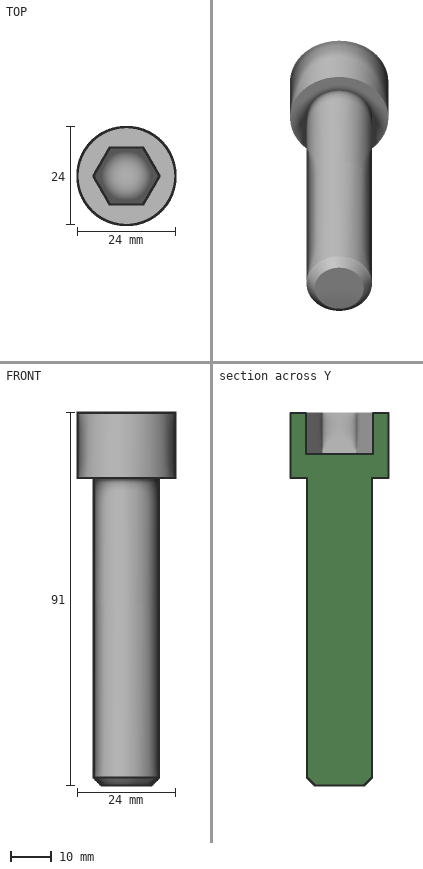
import math

import cadquery as cq

thread_diameter = 16.0
shank_length = 75.0
thread_length = 44.0
plain_length = shank_length - thread_length
tip_chamfer = 2.0

head_diameter = 1.5 * thread_diameter
head_height = thread_diameter

socket_sides = 6
socket_across_flats = 14.0
socket_across_corners = socket_across_flats / math.cos(math.pi / socket_sides)
socket_depth = 10.0


def make_head():
    return cq.Workplane("XY").circle(head_diameter / 2).extrude(head_height)


def make_plain_shank():
    return cq.Workplane("XY").circle(thread_diameter / 2).extrude(-plain_length)


def make_threaded_end():
    """Thread simplified to a smooth cylinder at its outer diameter, with a chamfered tip."""
    return (
        cq.Workplane("XY", origin=(0, 0, -shank_length))
        .circle(thread_diameter / 2)
        .extrude(thread_length)
        .faces("<Z")
        .chamfer(tip_chamfer)
    )


def make_socket():
    """Hexagon socket with two opposite corners above the X axis."""
    return (
        cq.Workplane("XY", origin=(0, 0, head_height))
        .polygon(socket_sides, socket_across_corners)
        .extrude(-socket_depth)
    )


shank = make_plain_shank().union(make_threaded_end(), clean=False)
result = make_head().union(shank, clean=False).cut(make_socket(), clean=False)